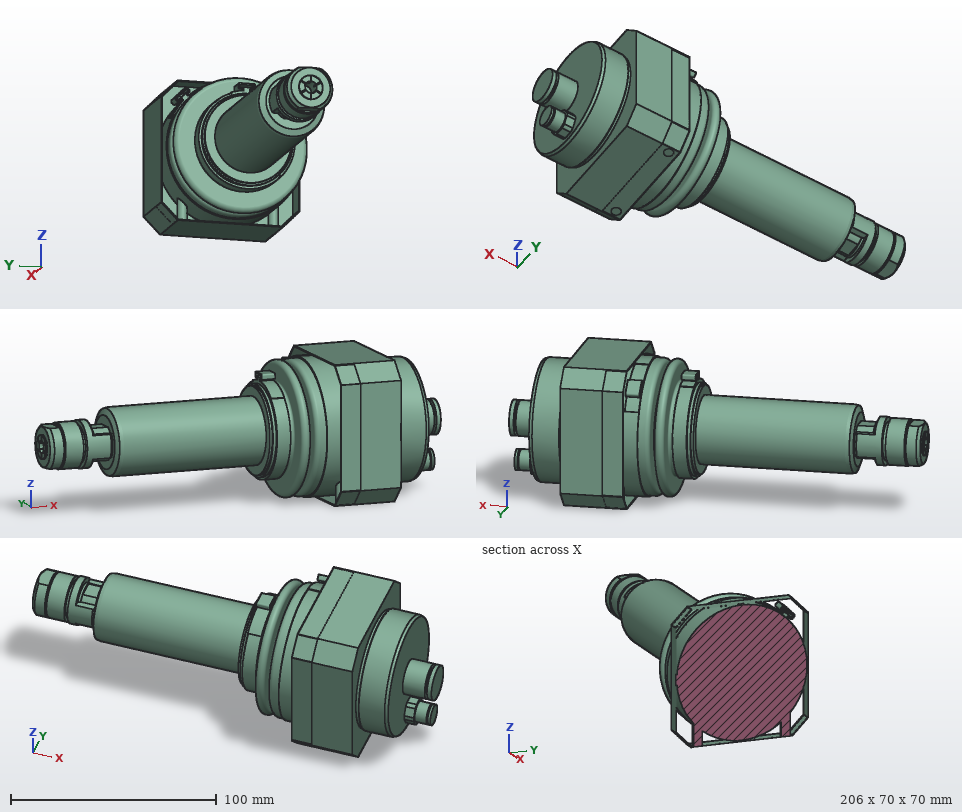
import cadquery as cq
import math


NUT_FRONT = 0.6
NUT_FLATS_END = 7.5
NUT_END = 17.5
FLANGE_FRONT = 19.4
FLANGE_END = 23.0
SLEEVE_FRONT = 33.2
SLEEVE_END = 111.0
SMALL_CLAMP_FRONT = 113.9
BEAD_FRONT = 123.3
BEAD_END = 128.0
DISC_FRONT = 130.3
BIG_CLAMP_FRONT = 136.1
HOUSING_FRONT = 143.1
HOUSING_END = 174.5
CAP_END = 191.0
TOTAL_LENGTH = 206.0

COLLET_DIA = 12.0
COLLET_BORE_DIA = 6.0
COLLET_BORE_DEPTH = 10.3
SLIT_COUNT = 6
SLIT_WIDTH = 0.5
SLIT_DEPTH = 4.1
NUT_DIA = 23.0
NUT_GROOVE_DIA = 22.2
NUT_GROOVE_WIDTH = 0.8
NUT_ACROSS_FLATS = 20.2
NUT_CHAMFER = 1.6
NECK_DIA = 19.0

FLANGE_DIA = 23.9
SHAFT_DIA = 18.5
SHAFT_ACROSS_FLATS = 16.5
SHAFT_FLAT_OFFSET = 1.5
LUG_THICKNESS = 11.7
LUG_CHAMFER = 1.2

SLEEVE_DIA = 34.0
SLEEVE_NOSE_DIA = 26.5
SLEEVE_NOSE_RIM_DIA = 33.2
SLEEVE_NOSE_LENGTH = 1.2
SLEEVE_RIM_LENGTH = 2.0

COLLAR_LIP_DIA = 43.9
COLLAR_LIP_LENGTH = 1.2
COLLAR_DIA = 46.0
NECK_COLLAR_DIA = 47.0
BEAD_ROOT_ROUND = 1.0
BEAD_DIA = 67.5
DISC_ROUND = 2.3

CLAMP_WIDTH = 7.0
SMALL_CLAMP_DIA = 48.5
BIG_CLAMP_DIA = 68.8
BIG_CLAMP_TILT = 45.0
STRAP_RAISE = 0.5
STRAP_TAIL_ANGLE = 18.0
SMALL_STRAP_ANGLE = 41.0
BIG_STRAP_ANGLE = 31.0
LOOP_WIDTH = 8.6
LOOP_HEIGHT = 2.9
LOOP_WALL = 0.8
LOOP_LIFT = 1.2
LOOP_NECK_WIDTH = 3.3

HOUSING_SIDE = 70.0
HOUSING_CHAMFER = 8.5
SKIRT_WALL = 0.51
RECESS_DEPTH = 10.3
PIN_DIA = 5.0
PIN_SPACING = 46.1
PIN_SETBACK = 4.5

CAP_DIA = 61.2
CAP_STEP_DIA = 60.0
CAP_STEP_LENGTH = 1.6
PIPE_DIA = 17.7
PIPE_GROOVE_DIA = 13.2
PIPE_GROOVE_START = 202.5
PIPE_GROOVE_END = 203.7
FITTING_DROP = 21.0
FITTING_HEX_ACROSS_FLATS = 12.5
FITTING_HEX_DIA = 13.4
FITTING_HEX_END = 196.0
FITTING_DIA = 10.5
FITTING_GROOVE_DIA = 9.9
FITTING_GROOVE_START = 202.0
FITTING_GROOVE_END = 202.6
FITTING_END = 204.0


def section(x):
    """Workplane across the spindle at station x: local x is +Y, local y is +Z."""
    return cq.Workplane("YZ", origin=(x, 0, 0))


def cylinder(x_start, x_end, diameter, z=0.0):
    return section(x_start).center(0, z).circle(diameter / 2).extrude(x_end - x_start)


def bar(x_start, x_end, width_y, height_z):
    return section(x_start).rect(width_y, height_z).extrude(x_end - x_start)


def cone(x_start, x_end, start_diameter, end_diameter):
    return (
        section(x_start).circle(start_diameter / 2)
        .workplane(offset=x_end - x_start).circle(end_diameter / 2)
        .loft()
    )


def make_nut():
    """Collet nut with two wrench flats, a fine groove behind them and a slit collet in its mouth."""
    body = cylinder(NUT_FRONT, NUT_END, NUT_DIA).faces("<X").chamfer(NUT_CHAMFER)
    flats = bar(NUT_FRONT, NUT_FLATS_END, NUT_DIA, NUT_ACROSS_FLATS)
    full_part = bar(NUT_FLATS_END, NUT_END, NUT_DIA, NUT_DIA)
    nut = body.intersect(flats.union(full_part))
    groove_end = NUT_FLATS_END + NUT_GROOVE_WIDTH
    groove = cylinder(NUT_FLATS_END, groove_end, 2 * NUT_DIA)
    nut = nut.cut(groove.cut(cylinder(NUT_FLATS_END, groove_end, NUT_GROOVE_DIA)))
    nut = nut.union(cylinder(0, NUT_FRONT, COLLET_DIA))
    for i in range(SLIT_COUNT // 2):
        slit = bar(0, SLIT_DEPTH, SLIT_WIDTH, COLLET_DIA)
        nut = nut.cut(slit.rotate((0, 0, 0), (1, 0, 0), i * 360 / SLIT_COUNT))
    nut = nut.cut(cylinder(0, COLLET_BORE_DEPTH, COLLET_BORE_DIA))
    return nut.union(cylinder(NUT_END, FLANGE_FRONT, NECK_DIA))


def make_shaft():
    """Flange with two side lugs and a flatted shaft running into the sleeve."""
    flange = cylinder(FLANGE_FRONT, FLANGE_END, FLANGE_DIA)
    lugs = cylinder(FLANGE_FRONT, SLEEVE_FRONT, FLANGE_DIA).faces(">X").chamfer(LUG_CHAMFER)
    lugs = lugs.intersect(bar(FLANGE_FRONT, SLEEVE_FRONT, FLANGE_DIA, LUG_THICKNESS))
    flat_start = FLANGE_END + SHAFT_FLAT_OFFSET
    shaft = cylinder(flat_start, SLEEVE_FRONT, SHAFT_DIA)
    shaft = shaft.intersect(bar(flat_start, SLEEVE_FRONT, SHAFT_DIA, SHAFT_ACROSS_FLATS))
    shoulder = cylinder(FLANGE_END, flat_start, NECK_DIA)
    return flange.union(lugs).union(shoulder).union(shaft)


def make_sleeve():
    nose_end = SLEEVE_FRONT + SLEEVE_NOSE_LENGTH
    rim_end = nose_end + SLEEVE_RIM_LENGTH
    nose = cone(SLEEVE_FRONT, nose_end, SLEEVE_NOSE_DIA, SLEEVE_NOSE_RIM_DIA)
    rim = cone(nose_end, rim_end, SLEEVE_NOSE_RIM_DIA, SLEEVE_DIA)
    return nose.union(rim).union(cylinder(rim_end, SLEEVE_END, SLEEVE_DIA))


def make_bellows():
    """Stepped collar, round-edged bead with filleted roots and the sealing disc behind it."""
    lip_end = SLEEVE_END + COLLAR_LIP_LENGTH
    bellows = cylinder(SLEEVE_END, lip_end, COLLAR_LIP_DIA)
    bellows = bellows.union(cylinder(lip_end, BEAD_FRONT, COLLAR_DIA))

    rim_radius = (BEAD_END - BEAD_FRONT) / 2
    rim_center = BEAD_DIA / 2 - rim_radius
    front_root = COLLAR_DIA / 2
    rear_root = NECK_COLLAR_DIA / 2
    rear_round = DISC_FRONT - BEAD_END
    front_inset = BEAD_ROOT_ROUND * (1 - math.cos(math.pi / 4))
    rear_inset = rear_round * (1 - math.cos(math.pi / 4))
    bead = (
        cq.Workplane("XY")
        .moveTo(BEAD_FRONT - BEAD_ROOT_ROUND, 0)
        .lineTo(BEAD_FRONT - BEAD_ROOT_ROUND, front_root)
        .threePointArc(
            (BEAD_FRONT - front_inset, front_root + front_inset),
            (BEAD_FRONT, front_root + BEAD_ROOT_ROUND),
        )
        .lineTo(BEAD_FRONT, rim_center)
        .threePointArc((BEAD_FRONT + rim_radius, BEAD_DIA / 2), (BEAD_END, rim_center))
        .lineTo(BEAD_END, rear_root + rear_round)
        .threePointArc(
            (BEAD_END + rear_inset, rear_root + rear_inset),
            (DISC_FRONT, rear_root),
        )
        .lineTo(DISC_FRONT, 0)
        .close()
        .revolve(360, (0, 0, 0), (1, 0, 0))
    )
    disc = cylinder(DISC_FRONT, BIG_CLAMP_FRONT, BEAD_DIA).faces("<X").edges().fillet(DISC_ROUND)
    return bellows.union(bead).union(disc)


def make_clamp(x_start, x_end, diameter, strap_angle, tilt):
    """Ring with a raised strap end and a flat loop on top, turned about X by tilt."""
    ring = cylinder(x_start, x_end, diameter)
    length = x_end - x_start
    strap_radius = diameter / 2 + STRAP_RAISE

    def rim_point(angle):
        turn = math.radians(angle)
        return (strap_radius * math.sin(turn), strap_radius * math.cos(turn))

    strap = (
        section(x_start)
        .lineTo(*rim_point(-strap_angle))
        .threePointArc(rim_point(0), rim_point(STRAP_TAIL_ANGLE))
        .close()
        .extrude(length)
    )
    loop_center = diameter / 2 + LOOP_LIFT + LOOP_HEIGHT / 2
    loop = section(x_start).center(0, loop_center).rect(LOOP_WIDTH, LOOP_HEIGHT).extrude(length)
    loop = loop.edges("|X").fillet(LOOP_WALL)
    opening = (
        section(x_start).center(0, loop_center)
        .rect(LOOP_WIDTH - 2 * LOOP_WALL, LOOP_HEIGHT - 2 * LOOP_WALL)
        .extrude(length)
    )
    neck_bottom = diameter / 2 - LOOP_HEIGHT / 2
    neck_top = diameter / 2 + LOOP_LIFT + LOOP_WALL
    neck = (
        section(x_start).center(0, (neck_bottom + neck_top) / 2)
        .rect(LOOP_NECK_WIDTH, neck_top - neck_bottom)
        .extrude(length)
    )
    clamp = ring.union(strap).union(neck).union(loop.cut(opening))
    return clamp.rotate((0, 0, 0), (1, 0, 0), tilt)


def make_housing():
    """Chamfered square block with thin-skirted front corners and two upright pins in them."""
    length = HOUSING_END - HOUSING_FRONT
    block = bar(HOUSING_FRONT, HOUSING_END, HOUSING_SIDE, HOUSING_SIDE)
    block = block.edges("|X").chamfer(HOUSING_CHAMFER)

    inner_side = HOUSING_SIDE - 2 * SKIRT_WALL
    inner_chamfer = HOUSING_CHAMFER - (2 - math.sqrt(2)) * SKIRT_WALL
    recess_end = HOUSING_FRONT + RECESS_DEPTH
    recess = bar(HOUSING_FRONT, recess_end, inner_side, inner_side)
    recess = recess.edges("|X").chamfer(inner_chamfer)
    recess = recess.cut(cylinder(HOUSING_FRONT, recess_end, BIG_CLAMP_DIA))
    housing = block.cut(recess)

    pins = (
        cq.Workplane("XY", origin=(HOUSING_FRONT + PIN_SETBACK, 0, -HOUSING_SIDE / 2))
        .pushPoints([(0, -PIN_SPACING / 2), (0, PIN_SPACING / 2)])
        .circle(PIN_DIA / 2)
        .extrude(HOUSING_SIDE / 4)
    )
    return housing.union(pins)


def make_cap():
    step_end = HOUSING_END + CAP_STEP_LENGTH
    taper_start = CAP_END - CAP_STEP_LENGTH
    cap = cylinder(HOUSING_END, step_end, CAP_STEP_DIA)
    cap = cap.union(cylinder(step_end, taper_start, CAP_DIA))
    return cap.union(cone(taper_start, CAP_END, CAP_DIA, CAP_STEP_DIA))


def make_tail_pipe():
    pipe = cylinder(CAP_END, PIPE_GROOVE_START, PIPE_DIA)
    pipe = pipe.union(cylinder(PIPE_GROOVE_START, PIPE_GROOVE_END, PIPE_GROOVE_DIA))
    return pipe.union(cylinder(PIPE_GROOVE_END, TOTAL_LENGTH, PIPE_DIA))


def make_hose_fitting():
    """Hexagon with rounded corners and a grooved stub, below the tail pipe."""
    z = -FITTING_DROP
    corner_to_corner = FITTING_HEX_ACROSS_FLATS / math.cos(math.pi / 6)
    hexagon = (
        section(CAP_END).center(0, z)
        .polygon(6, corner_to_corner)
        .extrude(FITTING_HEX_END - CAP_END)
    )
    hexagon = hexagon.intersect(cylinder(CAP_END, FITTING_HEX_END, FITTING_HEX_DIA, z))
    fitting = hexagon.union(cylinder(FITTING_HEX_END, FITTING_GROOVE_START, FITTING_DIA, z))
    fitting = fitting.union(cylinder(FITTING_GROOVE_START, FITTING_GROOVE_END, FITTING_GROOVE_DIA, z))
    return fitting.union(cylinder(FITTING_GROOVE_END, FITTING_END, FITTING_DIA, z))


small_clamp = make_clamp(
    SMALL_CLAMP_FRONT, SMALL_CLAMP_FRONT + CLAMP_WIDTH, SMALL_CLAMP_DIA, SMALL_STRAP_ANGLE, 0
)
big_clamp = make_clamp(
    BIG_CLAMP_FRONT, HOUSING_FRONT, BIG_CLAMP_DIA, BIG_STRAP_ANGLE, -BIG_CLAMP_TILT
)

result = (
    make_nut()
    .union(make_shaft())
    .union(make_sleeve())
    .union(make_bellows())
    .union(small_clamp)
    .union(big_clamp)
    .union(make_housing())
    .union(make_cap())
    .union(make_tail_pipe())
    .union(make_hose_fitting())
)